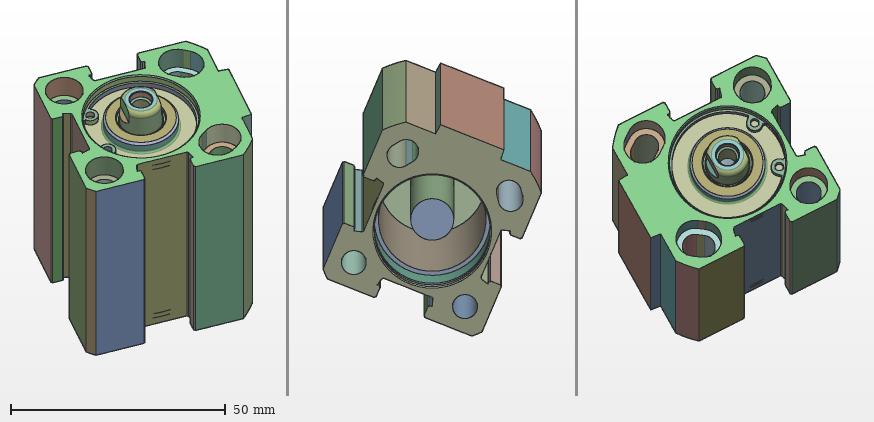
import cadquery as cq
import math

OVERALL_HEIGHT = 59.0
ROD_PROJECTION = 5.5
HOUSING_HEIGHT = OVERALL_HEIGHT - ROD_PROJECTION

HALF_WIDTH = 20.0
BACK_FACE_Y = 22.0
RAIL_FACE_Y = 24.5
RAIL_TOP_HALF_WIDTH = 7.95
RAIL_BASE_HALF_WIDTH = 8.2
CORNER_RADIUS = 27.0

SLOT_MOUTH_HALF_WIDTH = 6.0
SLOT_UNDERCUT_HALF_WIDTH = 6.9
SLOT_FLOOR_HALF_WIDTH = 6.25
SLOT_LIP_DEPTH = 3.1
SIDE_SLOT_DEPTH = 5.25
FRONT_SLOT_DEPTH = 5.15
SLOT_EDGE_RADIUS = 0.3

HOLE_OFFSET = 14.0
HOLE_DIAMETER = 5.8
COUNTERBORE_DIAMETER = 8.8
COUNTERBORE_DEPTH = 5.85
ELONGATION_X = 1.05
ELONGATION_Y = 1.5

BORE_DIAMETER = 25.0
RECESS_DIAMETER = 27.0
RECESS_CHAMFER = 0.3
GROOVE_WALL = 0.105
GROOVE_DIAMETER = 2 * (HALF_WIDTH - SIDE_SLOT_DEPTH - GROOVE_WALL)
GROOVE_DEPTH = 1.8
GROOVE_WIDTH = 1.35
RECESS_DEPTH = 10.05

RING_TOP = HOUSING_HEIGHT - GROOVE_DEPTH
RING_OUTER_DIAMETER = 28.4
RING_INNER_DIAMETER = 25.95
EAR_RADIUS = 1.9
EAR_SHOULDER_LENGTH = 1.65
EAR_HOLE_DIAMETER = 2.0
EAR_X = 6.1
EAR_Y = -10.4
RING_GAP_HALF_WIDTH = 4.85

COVER_DIAMETER = 26.9
COVER_TOP = RING_TOP - GROOVE_WIDTH
COVER_BOTTOM = HOUSING_HEIGHT - RECESS_DEPTH
BOSS_DIAMETER = 17.5
BOSS_SETBACK = 0.4
BOSS_TOP = HOUSING_HEIGHT - BOSS_SETBACK
BOSS_CHAMFER = 0.55
BOSS_BASE_FILLET = 0.5

WIPER_DIAMETER = 11.4
WIPER_CHAMFER = 0.25
WIPER_DEPTH = 0.6
WIPER_STEP_DIAMETER = 10.5
WIPER_STEP_DEPTH = 1.2

ROD_DIAMETER = 10.05
ROD_BOTTOM = RECESS_DEPTH
ROD_TIP_FILLET = 1.25
FLAT_HALF_WIDTH = 4.0
FLAT_LENGTH = 3.6
THREAD_DIAMETER = 4.15
THREAD_RELIEF_DIAMETER = 5.25
THREAD_RELIEF_DEPTH = 1.75
THREAD_RELIEF_TAPER = 0.3
THREAD_MOUTH_CHAMFER = 0.2
THREAD_TIP_LENGTH = 1.2
THREAD_DEPTH = 8.85


def cylinder(diameter, bottom, top):
    return cq.Workplane("XY").workplane(offset=bottom).circle(diameter / 2).extrude(top - bottom)


def cone(bottom_diameter, top_diameter, bottom, top):
    base = cq.Vector(0, 0, bottom)
    return cq.Workplane(cq.Solid.makeCone(bottom_diameter / 2, top_diameter / 2, top - bottom, base))


def housing_blank():
    """Extruded outline whose four corners lie on one circle about the cylinder axis."""
    back_x = math.sqrt(CORNER_RADIUS**2 - BACK_FACE_Y**2)
    side_y = math.sqrt(CORNER_RADIUS**2 - HALF_WIDTH**2)
    front_mid = CORNER_RADIUS * math.sqrt(0.5)
    back_mid_angle = (math.atan2(BACK_FACE_Y, back_x) + math.atan2(side_y, HALF_WIDTH)) / 2
    back_mid_x = CORNER_RADIUS * math.cos(back_mid_angle)
    back_mid_y = CORNER_RADIUS * math.sin(back_mid_angle)
    right_half = (
        cq.Workplane("XY")
        .moveTo(0, RAIL_FACE_Y)
        .lineTo(RAIL_TOP_HALF_WIDTH, RAIL_FACE_Y)
        .lineTo(RAIL_BASE_HALF_WIDTH, BACK_FACE_Y)
        .lineTo(back_x, BACK_FACE_Y)
        .threePointArc((back_mid_x, back_mid_y), (HALF_WIDTH, side_y))
        .lineTo(HALF_WIDTH, -side_y)
        .threePointArc((front_mid, -front_mid), (side_y, -HALF_WIDTH))
        .lineTo(0, -HALF_WIDTH)
        .close()
        .extrude(HOUSING_HEIGHT)
    )
    return right_half.union(right_half.mirror("YZ")).clean()


def t_slot(depth, turn):
    """T-slot in the front face with softened edges, turned about Z by `turn` degrees."""
    face = -HALF_WIDTH
    lip = face + SLOT_LIP_DEPTH
    floor = face + depth
    soft = SLOT_EDGE_RADIUS
    left_half = (
        cq.Workplane("XY")
        .moveTo(-SLOT_MOUTH_HALF_WIDTH - soft, face)
        .radiusArc((-SLOT_MOUTH_HALF_WIDTH, face + soft), soft)
        .lineTo(-SLOT_MOUTH_HALF_WIDTH, lip - soft)
        .radiusArc((-SLOT_MOUTH_HALF_WIDTH - soft, lip), soft)
        .lineTo(-SLOT_UNDERCUT_HALF_WIDTH, lip)
        .lineTo(-SLOT_FLOOR_HALF_WIDTH - soft / 2, floor - soft)
        .lineTo(-SLOT_FLOOR_HALF_WIDTH + soft / 2, floor)
        .lineTo(0, floor)
        .lineTo(0, face)
        .close()
        .extrude(HOUSING_HEIGHT)
    )
    return left_half.union(left_half.mirror("YZ")).rotate((0, 0, 0), (0, 0, 1), turn)


def mounting_hole(diameter, x, y, bottom):
    """Round hole in the front corners, elongated towards the back in the rear corners."""
    hole = cylinder(diameter, bottom, HOUSING_HEIGHT).translate((x, y, 0))
    if y < 0:
        return hole
    inward = -math.copysign(ELONGATION_X, x)
    far_end = hole.translate((inward, ELONGATION_Y, 0))
    length = math.hypot(ELONGATION_X, ELONGATION_Y)
    bridge = (
        cq.Workplane("XY")
        .box(length, diameter, HOUSING_HEIGHT - bottom, centered=(True, True, False))
        .rotate((0, 0, 0), (0, 0, 1), math.degrees(math.atan2(ELONGATION_Y, inward)))
        .translate((x + inward / 2, y + ELONGATION_Y / 2, bottom))
    )
    return hole.union(far_end).union(bridge)


def end_recess():
    """Recess with mouth chamfer and snap ring groove at the top end of the bore."""
    groove_top = HOUSING_HEIGHT - GROOVE_DEPTH
    mouth_diameter = RECESS_DIAMETER + 2 * RECESS_CHAMFER
    return (
        cylinder(RECESS_DIAMETER, HOUSING_HEIGHT - RECESS_DEPTH, HOUSING_HEIGHT)
        .union(cylinder(GROOVE_DIAMETER, groove_top - GROOVE_WIDTH, groove_top))
        .union(cone(RECESS_DIAMETER, mouth_diameter, HOUSING_HEIGHT - RECESS_CHAMFER, HOUSING_HEIGHT))
    )


def make_housing():
    """Extruded body with T-slots, counterbored corner holes and the cylinder bore."""
    body = housing_blank()
    for depth, turn in ((FRONT_SLOT_DEPTH, 0), (SIDE_SLOT_DEPTH, 90), (SIDE_SLOT_DEPTH, -90)):
        body = body.cut(t_slot(depth, turn))
    counterbore_floor = HOUSING_HEIGHT - COUNTERBORE_DEPTH
    for x in (-HOLE_OFFSET, HOLE_OFFSET):
        for y in (-HOLE_OFFSET, HOLE_OFFSET):
            body = body.cut(mounting_hole(HOLE_DIAMETER, x, y, 0))
            body = body.cut(mounting_hole(COUNTERBORE_DIAMETER, x, y, counterbore_floor))
    top_recess = end_recess()
    bottom_recess = top_recess.mirror("XY").translate((0, 0, HOUSING_HEIGHT))
    bore = cylinder(BORE_DIAMETER, 0, HOUSING_HEIGHT)
    return body.cut(bore).cut(top_recess).cut(bottom_recess)


def ring_ear():
    """Right-hand ear: a round lug with a shoulder that runs tangentially out to the ring."""
    offset = EAR_RADIUS * math.sqrt(0.5)
    run = EAR_SHOULDER_LENGTH * math.sqrt(0.5)
    shoulder = (
        cq.Workplane("XY")
        .workplane(offset=COVER_TOP)
        .moveTo(EAR_X, EAR_Y)
        .lineTo(EAR_X + offset, EAR_Y + offset)
        .lineTo(EAR_X + offset + run, EAR_Y + offset - run)
        .lineTo(EAR_X + run, EAR_Y - run)
        .close()
        .extrude(GROOVE_WIDTH)
    )
    lug = cylinder(2 * EAR_RADIUS, COVER_TOP, RING_TOP).translate((EAR_X, EAR_Y, 0))
    return lug.union(shoulder)


def make_snap_ring():
    """Open ring with two eared ends, resting on the cover inside the groove."""
    ring = cylinder(RING_OUTER_DIAMETER, COVER_TOP, RING_TOP)
    ring = ring.cut(cylinder(RING_INNER_DIAMETER, COVER_TOP, RING_TOP))
    gap = (
        cq.Workplane("XY")
        .workplane(offset=COVER_TOP)
        .center(0, -RING_OUTER_DIAMETER / 2)
        .rect(2 * RING_GAP_HALF_WIDTH, RING_OUTER_DIAMETER)
        .extrude(GROOVE_WIDTH)
    )
    right_ear = ring_ear()
    ring = ring.cut(gap).union(right_ear).union(right_ear.mirror("YZ"))
    for x in (-EAR_X, EAR_X):
        ring = ring.cut(cylinder(EAR_HOLE_DIAMETER, COVER_TOP, RING_TOP).translate((x, EAR_Y, 0)))
    return ring


def make_cover():
    """Disc with a chamfered boss, a filleted boss base and a stepped rod hole."""
    disc_radius = COVER_DIAMETER / 2
    boss_radius = BOSS_DIAMETER / 2
    fillet = BOSS_BASE_FILLET
    cover = (
        cq.Workplane("XZ")
        .moveTo(0, COVER_BOTTOM)
        .lineTo(disc_radius, COVER_BOTTOM)
        .lineTo(disc_radius, COVER_TOP)
        .lineTo(boss_radius + fillet, COVER_TOP)
        .radiusArc((boss_radius, COVER_TOP + fillet), fillet)
        .lineTo(boss_radius, BOSS_TOP - BOSS_CHAMFER)
        .lineTo(boss_radius - BOSS_CHAMFER, BOSS_TOP)
        .lineTo(0, BOSS_TOP)
        .close()
        .revolve(360, (0, 0, 0), (0, 1, 0))
    )
    mouth_diameter = WIPER_DIAMETER + 2 * WIPER_CHAMFER
    return (
        cover.cut(cylinder(ROD_DIAMETER, COVER_BOTTOM, BOSS_TOP))
        .cut(cylinder(WIPER_STEP_DIAMETER, BOSS_TOP - WIPER_STEP_DEPTH, BOSS_TOP))
        .cut(cylinder(WIPER_DIAMETER, BOSS_TOP - WIPER_DEPTH, BOSS_TOP))
        .cut(cone(WIPER_DIAMETER, mouth_diameter, BOSS_TOP - WIPER_CHAMFER, BOSS_TOP))
    )


def rod_flat():
    """Cutter for the flat on the +Y side, which runs out downwards at 45 degrees."""
    flat_bottom = OVERALL_HEIGHT - FLAT_LENGTH
    rod_radius = ROD_DIAMETER / 2
    runout = rod_radius - FLAT_HALF_WIDTH
    return (
        cq.Workplane("YZ")
        .moveTo(FLAT_HALF_WIDTH, OVERALL_HEIGHT)
        .lineTo(FLAT_HALF_WIDTH, flat_bottom)
        .lineTo(rod_radius, flat_bottom - runout)
        .lineTo(rod_radius, OVERALL_HEIGHT)
        .close()
        .extrude(rod_radius, both=True)
    )


def thread_hole():
    """Blind threaded hole with a conical bottom, a wider tapered mouth section and a chamfer."""
    top = OVERALL_HEIGHT
    bottom = top - THREAD_DEPTH
    relief_bottom = top - THREAD_RELIEF_DEPTH
    mouth_diameter = THREAD_RELIEF_DIAMETER + 2 * THREAD_MOUTH_CHAMFER
    tip = cone(0, THREAD_DIAMETER, bottom - THREAD_TIP_LENGTH, bottom)
    taper = cone(THREAD_DIAMETER, THREAD_RELIEF_DIAMETER, relief_bottom - THREAD_RELIEF_TAPER, relief_bottom)
    chamfer = cone(THREAD_RELIEF_DIAMETER, mouth_diameter, top - THREAD_MOUTH_CHAMFER, top)
    return (
        cylinder(THREAD_DIAMETER, bottom, top)
        .union(cylinder(THREAD_RELIEF_DIAMETER, relief_bottom, top))
        .union(tip)
        .union(taper)
        .union(chamfer)
    )


def make_rod():
    """Rod with a rounded tip, two wrench flats and a threaded hole."""
    rod = cylinder(ROD_DIAMETER, ROD_BOTTOM, OVERALL_HEIGHT).faces(">Z").edges().fillet(ROD_TIP_FILLET)
    flat = rod_flat()
    return rod.cut(flat).cut(flat.mirror("XZ")).cut(thread_hole())


housing = make_housing()
snap_ring = make_snap_ring()
cover = make_cover()
rod = make_rod()

result = cq.Compound.makeCompound([housing.val(), snap_ring.val(), cover.val(), rod.val()])